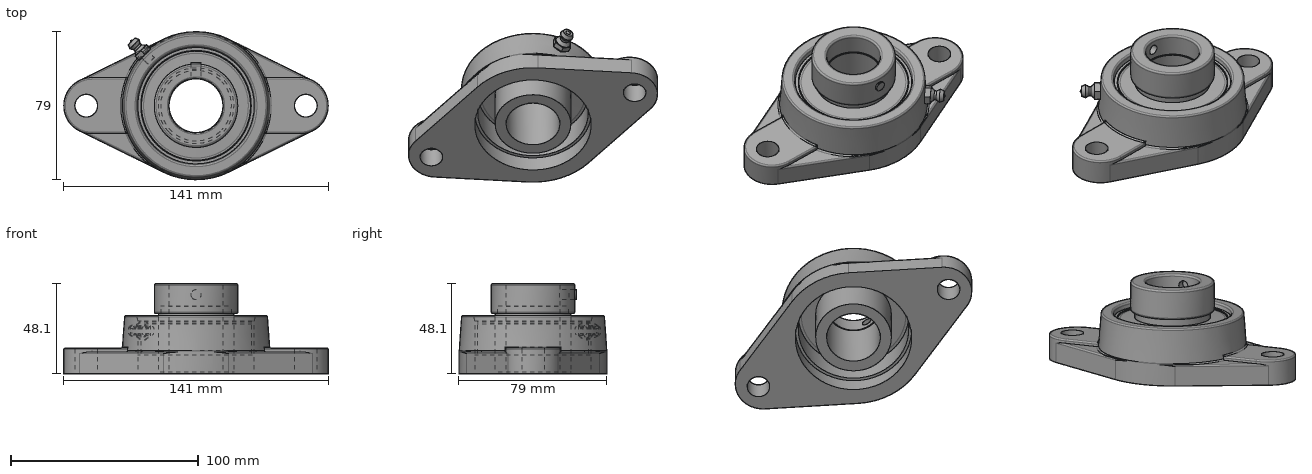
import cadquery as cq
import math

flange_length = 141.0
boss_foot_radius = 39.5
ear_radius = 15.0
ear_center_x = flange_length / 2 - ear_radius
bolt_hole_radius = 12.0 / 2
bolt_hole_x = 58.5
web_height = 11.5
pad_height = 13.7
edge_fillet = 0.8
foot_fillet_radius = 0.8

boss_height = 31.0
boss_top_radius = 38.0
bore_radius = 31.0
bore_rim_radius = 65.0 / 2
bore_mouth_radius = 63.0 / 2
bore_fillet = bore_rim_radius - bore_mouth_radius

collar_radius = 44.5 / 2
collar_bottom = 32.0
collar_top = 48.1
collar_fillet = 1.0
screw_radius = 5.4 / 2
screw_z = 42.2
screw_inner_end = 19.2
screw_outer_end = 23.1

outer_ring_inner_radius = 29.5
outer_ring_top = 28.2
outer_ring_width = 18.0
outer_ring_bottom = outer_ring_top - outer_ring_width

shaft_radius = 28.6 / 2
inner_ring_radius = 40.3 / 2
nose_radius = 37.6 / 2
inner_ring_bottom = 0.8
nose_top = 36.2
nose_chamfer = 0.4

seal_flat_radius = 55.8 / 2
seal_rim_top = 27.9
seal_hub_top = 28.2
seal_thickness = 1.4
seal_edge_chamfer = 0.4

nipple_angle = 135.0
nipple_z = 23.0
shank_radius = 5.0 / 2
shank_start = 33.8
hex_start = 38.5
hex_end = 41.6
hex_across_flats = 8.7
shoulder_radius = 4.1
neck_start = 43.4
neck_end = 44.5
neck_radius = 5.0 / 2
head_widest = 46.4
head_radius = 3.5
head_end = 48.5
head_end_radius = 5.4 / 2
tip_radius = 2.5 / 2
tip_height = 0.7


def cylinder(radius, bottom, top):
    """Solid cylinder about Z between two heights."""
    return cq.Workplane("XY").workplane(offset=bottom).circle(radius).extrude(top - bottom)


def revolved(profile):
    """Closed (radius, height) polygon turned about Z."""
    return cq.Workplane("XZ").polyline(profile).close().revolve(360, (0, 0, 0), (0, 1, 0))


def screw_shape(start, end):
    """Cylinder of the screw's size along +Y, between two distances from the shaft axis."""
    return cq.Workplane("XZ", origin=(0, start, screw_z)).circle(screw_radius).extrude(start - end)


def tangent_points():
    """Points in the +X, +Y quarter where a flank leaves the boss foot and reaches the ear."""
    sine = (boss_foot_radius - ear_radius) / ear_center_x
    cosine = math.sqrt(1 - sine ** 2)
    on_foot = (boss_foot_radius * sine, boss_foot_radius * cosine)
    on_ear = (ear_center_x + ear_radius * sine, ear_radius * cosine)
    return on_foot, on_ear


def lozenge(height):
    """Flange outline: boss foot and two ears joined by their common tangents."""
    (foot_x, foot_y), (ear_x, ear_y) = tangent_points()
    return (
        cq.Workplane("XY")
        .moveTo(-foot_x, foot_y)
        .threePointArc((0, boss_foot_radius), (foot_x, foot_y))
        .lineTo(ear_x, ear_y)
        .threePointArc((flange_length / 2, 0), (ear_x, -ear_y))
        .lineTo(foot_x, -foot_y)
        .threePointArc((0, -boss_foot_radius), (-foot_x, -foot_y))
        .lineTo(-ear_x, -ear_y)
        .threePointArc((-flange_length / 2, 0), (-ear_x, ear_y))
        .close()
        .extrude(height)
    )


def pointed_lozenge(height):
    """The same outline with its flanks run on to a point beside the boss foot."""
    (_, foot_y), (ear_x, ear_y) = tangent_points()
    point_y = boss_foot_radius ** 2 / foot_y
    return (
        cq.Workplane("XY")
        .moveTo(0, point_y)
        .lineTo(ear_x, ear_y)
        .threePointArc((flange_length / 2, 0), (ear_x, -ear_y))
        .lineTo(0, -point_y)
        .lineTo(-ear_x, -ear_y)
        .threePointArc((-flange_length / 2, 0), (-ear_x, ear_y))
        .close()
        .extrude(height)
    )


def pad_shape(height):
    """Straight pad with round ends that runs from ear to ear."""
    return cq.Workplane("XY").slot2D(flange_length, 2 * ear_radius).extrude(height)


def make_flange():
    webs = pointed_lozenge(web_height).faces(">Z").edges().fillet(edge_fillet)
    webs = webs.intersect(lozenge(web_height))
    pads = pad_shape(pad_height).faces(">Z").edges().fillet(edge_fillet)
    return webs.union(pads)


def boss_radius_at(height):
    taper = (boss_foot_radius - boss_top_radius) / (boss_height - web_height)
    return boss_foot_radius - taper * (height - web_height)


def make_boss():
    cone = revolved([
        (0, web_height),
        (boss_foot_radius, web_height),
        (boss_top_radius, boss_height),
        (0, boss_height),
    ])
    return cone.faces(">Z").edges().fillet(edge_fillet)


def foot_fillet(floor):
    """Ring that blends the boss into a flat floor of the flange."""
    flare_top = floor + foot_fillet_radius
    wall = boss_radius_at(flare_top)
    sag = foot_fillet_radius * (1 - math.sqrt(0.5))
    return (
        cq.Workplane("XZ")
        .moveTo(bore_rim_radius, floor)
        .lineTo(wall + foot_fillet_radius, floor)
        .threePointArc((wall + sag, floor + sag), (wall, flare_top))
        .lineTo(bore_rim_radius, flare_top)
        .close()
        .revolve(360, (0, 0, 0), (0, 1, 0))
    )


def bore_mouth():
    """Opening above the outer ring: a short taper that ends in a rounded rim."""
    sag = bore_fillet * (1 - math.sqrt(0.5))
    return (
        cq.Workplane("XZ")
        .moveTo(0, outer_ring_top)
        .lineTo(bore_radius, outer_ring_top)
        .lineTo(bore_mouth_radius, boss_height - bore_fillet)
        .threePointArc((bore_mouth_radius + sag, boss_height - sag), (bore_rim_radius, boss_height))
        .lineTo(0, boss_height)
        .close()
        .revolve(360, (0, 0, 0), (0, 1, 0))
    )


def make_housing(nipple):
    housing = make_flange().union(make_boss())
    housing = housing.union(foot_fillet(web_height).intersect(lozenge(boss_height)))
    housing = housing.union(foot_fillet(pad_height).intersect(pad_shape(boss_height)))
    housing = housing.cut(cylinder(bore_radius, 0, outer_ring_top)).cut(bore_mouth())
    for side in (-1, 1):
        bolt_hole = cylinder(bolt_hole_radius, 0, pad_height).translate((side * bolt_hole_x, 0, 0))
        housing = housing.cut(bolt_hole)
    return housing.cut(nipple)


def make_outer_ring():
    ring = cylinder(bore_radius, outer_ring_bottom, outer_ring_top)
    return ring.cut(cylinder(outer_ring_inner_radius, outer_ring_bottom, outer_ring_top))


def make_inner_ring():
    return revolved([
        (shaft_radius, inner_ring_bottom),
        (inner_ring_radius, inner_ring_bottom),
        (inner_ring_radius, collar_bottom),
        (nose_radius, collar_bottom),
        (nose_radius, nose_top),
        (shaft_radius + nose_chamfer, nose_top),
        (shaft_radius, nose_top - nose_chamfer),
    ])


def make_seal():
    return revolved([
        (inner_ring_radius, seal_hub_top - seal_thickness),
        (seal_flat_radius, seal_rim_top - seal_thickness),
        (outer_ring_inner_radius, seal_rim_top - seal_thickness),
        (outer_ring_inner_radius, seal_rim_top - seal_edge_chamfer),
        (outer_ring_inner_radius - seal_edge_chamfer, seal_rim_top),
        (seal_flat_radius, seal_rim_top),
        (inner_ring_radius, seal_hub_top),
    ])


def make_collar():
    collar = cylinder(collar_radius, collar_bottom, collar_top).edges().fillet(collar_fillet)
    collar = collar.cut(cylinder(shaft_radius, collar_bottom, collar_top))
    bore_edge = cq.selectors.RadiusNthSelector(0)
    collar = collar.faces(">Z").edges(bore_edge).fillet(collar_fillet)
    collar = collar.cut(cylinder(nose_radius, collar_bottom, nose_top))
    return collar.cut(screw_shape(0, collar_radius))


def make_set_screw():
    return screw_shape(screw_inner_end, screw_outer_end)


def make_nipple():
    """Nipple built upright about Z, then laid on its radial axis."""
    shank = cylinder(shank_radius, shank_start, hex_start)
    hex_across_corners = hex_across_flats / math.cos(math.pi / 6)
    hexagon = (
        cq.Workplane("XY")
        .workplane(offset=hex_start)
        .polygon(6, hex_across_corners)
        .extrude(hex_end - hex_start)
    )
    head = revolved([
        (0, hex_end),
        (shoulder_radius, hex_end),
        (neck_radius, neck_start),
        (neck_radius, neck_end),
        (head_radius, head_widest),
        (head_end_radius, head_end),
        (tip_radius, head_end),
        (0, head_end + tip_height),
    ])
    return (
        shank.union(hexagon)
        .union(head)
        .rotate((0, 0, 0), (0, 1, 0), 90)
        .rotate((0, 0, 0), (0, 0, 1), nipple_angle)
        .translate((0, 0, nipple_z))
    )


grease_nipple = make_nipple()
housing = make_housing(grease_nipple)
outer_ring = make_outer_ring()
inner_ring = make_inner_ring()
seal = make_seal()
collar = make_collar()
set_screw = make_set_screw()

result = cq.Compound.makeCompound([
    housing.val(),
    outer_ring.val(),
    inner_ring.val(),
    seal.val(),
    collar.val(),
    set_screw.val(),
    grease_nipple.val(),
])